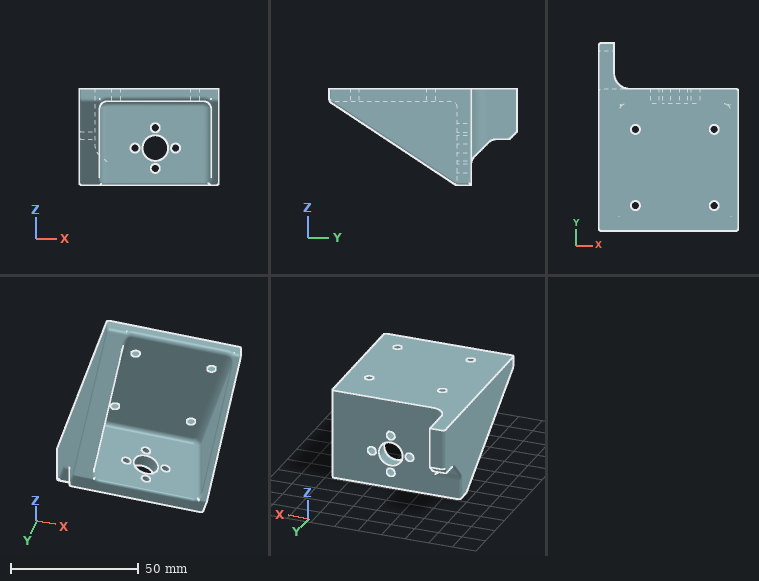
import cadquery as cq
width = 55.0
length = 74.0
height = 38.0

front_height = 5.0
foot_length = 6.0
mount_thickness = 5.8
arm_thickness = 6.15
left_wall = 8.0
right_wall = 3.0
ceiling_thickness = 4.95

arm_reach = 18.0
arm_height = 20.0
arm_tip_chamfer = 3.0
notch_chamfer = 8.0
notch_round = 4.0
arm_root_round = 6.0

pocket_round = 3.0
ceiling_round = 2.0
front_round = 2.0
edge_round = 1.0

small_hole = 3.5
bore = 10.0
motor_depth = 23.4
motor_spacing = 16.0
plate_hole_spacing_x = 31.0
plate_hole_spacing_y = 30.0
plate_hole_middle_y = 25.0

mount_back = length - arm_reach
mount_front = mount_back - mount_thickness
slope_foot = mount_back - foot_length
pocket_width = width - left_wall - right_wall
pocket_middle = left_wall + pocket_width / 2
near = 0.04


def side_body():
    """Full-width block with the outline of the left side."""
    block = (
        cq.Workplane("YZ")
        .lineTo(0, -front_height)
        .lineTo(slope_foot, -height)
        .lineTo(mount_back, -height)
        .lineTo(mount_back, -arm_height - notch_chamfer)
        .lineTo(mount_back + notch_chamfer, -arm_height)
        .lineTo(length - arm_tip_chamfer, -arm_height)
        .lineTo(length, -arm_height + arm_tip_chamfer)
        .lineTo(length, 0)
        .close()
        .extrude(width)
    )
    notch_ends = cq.selectors.BoxSelector(
        (-near, mount_back - near, -arm_height - notch_chamfer - near),
        (width + near, mount_back + notch_chamfer + near, -arm_height + near),
    )
    return block.edges(notch_ends).edges("|X").fillet(notch_round)


def space_behind():
    """Space beside the arm, with a round at the arm's root."""
    return (
        cq.Workplane("XY")
        .box(width, arm_reach, height, centered=False)
        .edges("|Z and <X and <Y")
        .fillet(arm_root_round)
        .translate((arm_thickness, mount_back, -height))
    )


def pocket():
    """Space below the plate and between the side walls."""
    return (
        cq.Workplane("XY")
        .box(pocket_width, mount_front, height, centered=False)
        .edges("(|Y and >Z) or (|Z and >Y)")
        .fillet(pocket_round)
        .edges("|X and >Y and >Z")
        .fillet(ceiling_round)
        .translate((left_wall, 0, -ceiling_thickness - height))
    )


def front_edges(body):
    """Lower edges of the plate's front face, across walls and ceiling."""
    return [e for e in body.faces("<Y").edges("|X").vals() if e.Center().z < -near]


def side_edges(body):
    """Edges of both outer side faces, except those along the top."""
    return [e for e in body.faces("<X or >X").edges().vals() if e.BoundingBox().zmin < -near]


def is_slope(face):
    """True for the sloping undersides of the side walls."""
    normal = face.normalAt()
    return face.geomType() == "PLANE" and normal.y < -near and normal.z < -near and normal.x ** 2 < near


def rim_edges(body):
    """Edges round the pocket mouth and along the foot of the slope."""
    foot = [e for e in body.faces("<Z").edges("not |Y").vals() if e.Center().y < mount_back - near]
    slope = [e for face in body.faces().vals() if is_slope(face) for e in face.Edges()]
    mouth = [e for e in slope if near < e.Center().x < width - near and e.BoundingBox().zlen > near]
    return foot + mouth


def motor_holes():
    """Bore with four screw holes through the mounting wall."""
    wall = cq.Workplane("XZ", origin=(pocket_middle, mount_back, -motor_depth))
    screws = wall.polarArray(motor_spacing / 2, 0, 360, 4).circle(small_hole / 2).extrude(mount_thickness)
    return wall.circle(bore / 2).extrude(mount_thickness).union(screws)


def plate_holes():
    """Four screw holes through the plate."""
    return (
        cq.Workplane("XY", origin=(pocket_middle, plate_hole_middle_y, 0))
        .rarray(plate_hole_spacing_x, plate_hole_spacing_y, 2, 2)
        .circle(small_hole / 2)
        .extrude(-front_height)
    )


body = side_body().cut(space_behind()).cut(pocket())
body = body.newObject(front_edges(body)).fillet(front_round)
body = body.newObject(side_edges(body) + rim_edges(body)).fillet(edge_round)
result = body.cut(motor_holes()).cut(plate_holes())